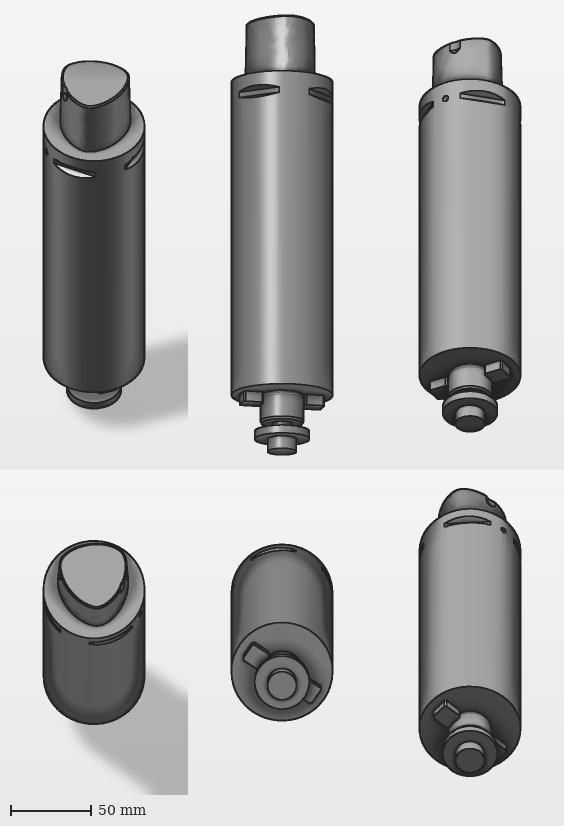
import cadquery as cq
import math

body_diameter = 63.0
body_length = 200.0

shank_length = 38.0
shank_mean_radius = 22.0
shank_eccentricity = 1.65
shank_taper = 1 / 40
shank_chamfer = 1.0
points_per_lobe = 12

notch_radius = 6.0
notch_back = 18.0
notch_depth = 6.0
notch_tip_half_angle = 27.0

groove_depth_below_face = 12.0
groove_floor_distance = 28.0
groove_floor_width = 3.4
groove_flank_angle = 31.0
groove_angles = (45, 135, 225, 315)

dimple_diameter = 4.0
dimple_depth = 2.0

relief_diameter = 26.4
relief_length = 1.0
relief_flare_length = 1.2
spigot_diameter = 27.0
spigot_length = 18.0
spigot_chamfer_height = 1.5
spigot_chamfer_width = 0.75

neck_diameter = 12.0
neck_length = 5.0
washer_diameter = 34.0
washer_length = 5.0
head_diameter = 18.0
head_length = 8.0

key_width = 12.0
key_height = 6.5
key_inner = relief_diameter / 2
key_outer = 25.8
key_chamfer = 1.0

body_radius = body_diameter / 2
cutter_clearance = 1.0


def lobed_section(mean_radius, height):
    """Closed three-lobed wire with one lobe towards +Y.

    The distance of the tangent from the axis is mean_radius - e * sin(3 t), so
    sections that differ only in mean_radius are true offsets of each other.
    """
    def point(t):
        support = mean_radius - shank_eccentricity * math.sin(3 * t)
        slope = -3 * shank_eccentricity * math.cos(3 * t)
        x = support * math.cos(t) - slope * math.sin(t)
        y = support * math.sin(t) + slope * math.cos(t)
        return cq.Vector(x, y, height)

    steps = 3 * points_per_lobe
    points = [point(2 * math.pi * step / steps) for step in range(steps)]
    return cq.Wire.assembleEdges([cq.Edge.makeSpline(points, periodic=True)])


def make_shank():
    """Tapered shank with a chamfered top edge, cut by the notch."""
    edge_height = shank_length - shank_chamfer
    edge_radius = shank_mean_radius - shank_taper * edge_height
    root = lobed_section(shank_mean_radius, 0)
    edge = lobed_section(edge_radius, edge_height)
    top = lobed_section(edge_radius - shank_chamfer, shank_length)
    taper = cq.Solid.makeLoft([root, edge], True)
    chamfer = cq.Solid.makeLoft([edge, top], True)
    return cq.Workplane(taper).union(cq.Workplane(chamfer)).cut(make_notch_cutter())


def make_notch_cutter():
    """Upright round cutter with a conical tip, its axis outside the shank."""
    tip_length = notch_radius / math.tan(math.radians(notch_tip_half_angle))
    shoulder = shank_length - notch_depth
    profile = [
        (0, shank_length),
        (notch_radius, shank_length),
        (notch_radius, shoulder),
        (0, shoulder - tip_length),
    ]
    cutter = cq.Workplane("XZ").polyline(profile).close().revolve(360, (0, 0), (0, 1))
    return cutter.translate((0, -notch_back - notch_radius, 0))


def make_groove_cutter(angle):
    """Trapezoidal bar that cuts one gripper groove at the given angle from +X."""
    outer = body_radius + cutter_clearance
    half_floor = groove_floor_width / 2
    flank_rise = (outer - groove_floor_distance) * math.tan(math.radians(groove_flank_angle))
    half_mouth = half_floor + flank_rise
    profile = [
        (groove_floor_distance, -half_floor),
        (outer, -half_mouth),
        (outer, half_mouth),
        (groove_floor_distance, half_floor),
    ]
    bar = cq.Workplane("XZ").polyline(profile).close().extrude(body_radius, both=True)
    return bar.translate((0, 0, -groove_depth_below_face)).rotate((0, 0, 0), (0, 0, 1), angle)


def make_body():
    """Main cylinder with gripper grooves and index dimple."""
    body = cq.Workplane("XY").circle(body_radius).extrude(-body_length)
    for angle in groove_angles:
        body = body.cut(make_groove_cutter(angle))
    dimple = cq.Solid.makeCone(
        dimple_diameter / 2,
        0,
        dimple_depth,
        cq.Vector(0, -body_radius, -groove_depth_below_face),
        cq.Vector(0, 1, 0),
    )
    return body.cut(cq.Workplane(dimple))


def make_spigot_and_screw():
    """Turned end below the body: relief, flare, spigot, neck, washer and screw head."""
    relief_end = -body_length - relief_length
    spigot_end = -body_length - spigot_length
    neck_end = spigot_end - neck_length
    washer_end = neck_end - washer_length
    head_end = washer_end - head_length
    spigot_radius = spigot_diameter / 2
    profile = [
        (0, -body_length),
        (relief_diameter / 2, -body_length),
        (relief_diameter / 2, relief_end),
        (spigot_radius, relief_end - relief_flare_length),
        (spigot_radius, spigot_end + spigot_chamfer_height),
        (spigot_radius - spigot_chamfer_width, spigot_end),
        (neck_diameter / 2, spigot_end),
        (neck_diameter / 2, neck_end),
        (washer_diameter / 2, neck_end),
        (washer_diameter / 2, washer_end),
        (head_diameter / 2, washer_end),
        (head_diameter / 2, head_end),
        (0, head_end),
    ]
    return cq.Workplane("XZ").polyline(profile).close().revolve(360, (0, 0), (0, 1))


def make_key(side):
    """Driving key under the body on the +X (side = 1) or -X (side = -1) side."""
    key = cq.Workplane("XY").box(
        key_outer - key_inner, key_width, key_height, centered=(True, True, False)
    )
    key = key.edges("|Z").chamfer(key_chamfer)
    middle = side * (key_inner + key_outer) / 2
    return key.translate((middle, 0, -body_length - key_height))


result = make_body().union(make_shank()).union(make_spigot_and_screw())
for key_side in (-1, 1):
    result = result.union(make_key(key_side))